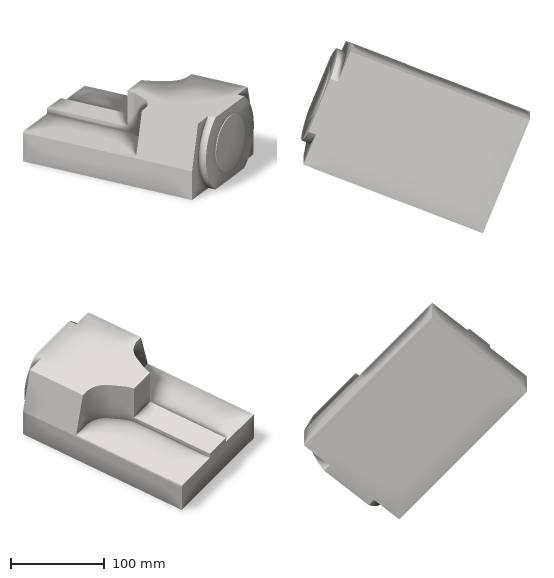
import cadquery as cq
import math

total_length = 215.0
width = 135.0
height = 84.0
seat_thickness = 0.9
flange_thickness = 8.5
body_length = total_length - flange_thickness - seat_thickness

taper_start_height = 33.5
top_width = 108.5

floor_height = 35.3
rib_height = 41.5
rib_width = 29.7
block_front = 98.0

flare_start = 94.4
shoulder_position = 137.2
flare_angle = math.radians(27)
neck_radius = 31.8
shoulder_radius = 25.8

flange_diameter = 105.1
seat_diameter = 63.6


def make_body():
    """Extrude the cross-section with tapered upper sides along X."""
    half_width = width / 2
    half_top = top_width / 2
    return (
        cq.Workplane("YZ")
        .polyline([
            (-half_width, 0),
            (half_width, 0),
            (half_width, taper_start_height),
            (half_top, height),
            (-half_top, height),
            (-half_width, taper_start_height),
        ])
        .close()
        .extrude(body_length)
    )


def arc_point(center, radius, angle):
    """Return the point at an angle on a circle."""
    return (center[0] + radius * math.cos(angle), center[1] + radius * math.sin(angle))


def make_side_cut():
    """Clear the +Y side above the floor, outside the rib and its flared neck."""
    rib_side = rib_width / 2
    quarter_turn = math.pi / 2
    neck_center = (flare_start, rib_side + neck_radius)

    neck_run = neck_radius * math.sin(flare_angle)
    shoulder_run = shoulder_radius * (1 - math.sin(flare_angle))
    flank_run = shoulder_position - flare_start - neck_run - shoulder_run
    flank_rise = flank_run * math.tan(flare_angle)

    neck_end_angle = flare_angle - quarter_turn
    neck_middle = arc_point(neck_center, neck_radius, flare_angle / 2 - quarter_turn)
    neck_end = arc_point(neck_center, neck_radius, neck_end_angle)
    flank_end = (neck_end[0] + flank_run, neck_end[1] + flank_rise)
    shoulder_center = (
        shoulder_position - shoulder_radius,
        flank_end[1] + shoulder_radius * math.cos(flare_angle),
    )
    shoulder_middle = arc_point(shoulder_center, shoulder_radius, neck_end_angle / 2)
    shoulder_end = (shoulder_position, shoulder_center[1])

    return (
        cq.Workplane("XY")
        .workplane(offset=floor_height)
        .moveTo(0, rib_side)
        .lineTo(flare_start, rib_side)
        .threePointArc(neck_middle, neck_end)
        .lineTo(*flank_end)
        .threePointArc(shoulder_middle, shoulder_end)
        .lineTo(shoulder_position, width / 2)
        .lineTo(0, width / 2)
        .close()
        .extrude(height - floor_height)
    )


def make_rib_clearance():
    """Clear the space above the rib in front of the block."""
    return (
        cq.Workplane("XY")
        .box(block_front, width, height - rib_height, centered=(False, True, False))
        .translate((0, 0, rib_height))
    )


def make_flange():
    """Build the round flange, cut flat at top and bottom, with its thin round seat."""
    end_plane = cq.Workplane("YZ", origin=(body_length, 0, height / 2))
    disc = end_plane.circle(flange_diameter / 2).extrude(flange_thickness)
    flats = end_plane.rect(flange_diameter, height).extrude(flange_thickness)
    seat = end_plane.circle(seat_diameter / 2).extrude(flange_thickness + seat_thickness)
    return disc.intersect(flats).union(seat)


side_cut = make_side_cut()
result = (
    make_body()
    .cut(side_cut)
    .cut(side_cut.mirror("XZ"))
    .cut(make_rib_clearance())
    .union(make_flange())
)